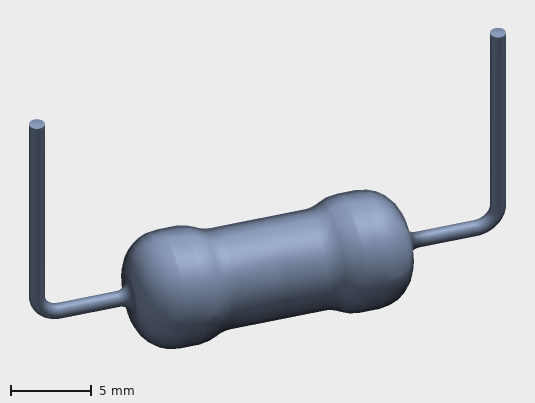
import cadquery as cq
import math

overall_length = 31.0
wire_radius = 0.5
bend_radius = 1.5
lead_top = 14.85
lead_y = overall_length / 2 - wire_radius

cap_radius = 3.75
waist_radius = 3.2
body_half_length = 9.0
cap_shoulder_y = 5.25
waist_end_y = 3.05
collar_size = 0.75

end_face_radius = wire_radius + collar_size
end_round = cap_radius - end_face_radius
cap_round_y = body_half_length - end_round
collar_tip_y = body_half_length + collar_size
diagonal = math.sqrt(0.5)

neck_length = cap_shoulder_y - waist_end_y
neck_drop = cap_radius - waist_radius
neck_arc_radius = (neck_length**2 + neck_drop**2) / (4 * neck_drop)
neck_mid = ((cap_radius + waist_radius) / 2, (cap_shoulder_y + waist_end_y) / 2)
half_arc_angle = math.asin(neck_length / 2 / neck_arc_radius) / 2
arc_step_y = neck_arc_radius * math.sin(half_arc_angle)
arc_step_radius = neck_arc_radius * (1 - math.cos(half_arc_angle))


def make_half_body():
    """Turn the +Y half of the body, including the collar around the lead."""
    profile = (
        cq.Workplane("XY")
        .lineTo(waist_radius, 0)
        .lineTo(waist_radius, waist_end_y)
        .threePointArc((waist_radius + arc_step_radius, waist_end_y + arc_step_y), neck_mid)
        .threePointArc(
            (cap_radius - arc_step_radius, cap_shoulder_y - arc_step_y),
            (cap_radius, cap_shoulder_y),
        )
        .lineTo(cap_radius, cap_round_y)
        .threePointArc(
            (end_face_radius + end_round * diagonal, cap_round_y + end_round * diagonal),
            (end_face_radius, body_half_length),
        )
        .threePointArc(
            (
                end_face_radius - collar_size * diagonal,
                collar_tip_y - collar_size * diagonal,
            ),
            (wire_radius, collar_tip_y),
        )
        .lineTo(0, collar_tip_y)
        .close()
    )
    return profile.revolve(360, (0, 0, 0), (0, 1, 0))


def make_lead():
    """Sweep the +Y lead from inside the body, around the bend and up."""
    bend_start_y = lead_y - bend_radius
    path = (
        cq.Workplane("YZ")
        .moveTo(waist_end_y, 0)
        .lineTo(bend_start_y, 0)
        .threePointArc(
            (bend_start_y + bend_radius * diagonal, bend_radius * (1 - diagonal)),
            (lead_y, bend_radius),
        )
        .lineTo(lead_y, lead_top)
    )
    return cq.Workplane("XZ", origin=(0, waist_end_y, 0)).circle(wire_radius).sweep(path)


half = make_half_body().union(make_lead())
result = half.union(half.mirror("XZ"))